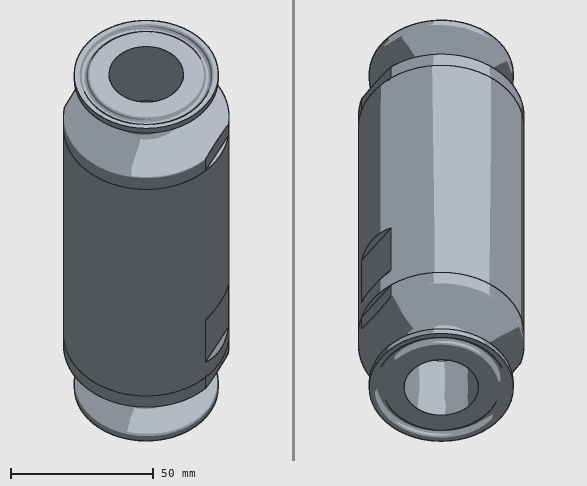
import cadquery as cq
import math

total_length = 165.0
housing_length = 109.0
housing_diameter = 58.0
bore_diameter = 25.0
flat_spacing = 55.0

cap_rim_height = 6.0
cap_cone_angle = 22.0
cap_rim_fillet = 0.5
cap_neck_fillet = 2.0
neck_diameter = 29.0
bore_mouth_diameter = 26.0

flange_diameter = 50.5
flange_edge_height = 2.75
flange_cone_angle = 20.0
flange_edge_fillet = 1.0
flange_neck_fillet = 2.0

groove_diameter = 43.5
groove_radius = 1.2
groove_lip_fillet = 0.9
groove_depth = 1.6

wrench_flat_length = 22.0
wrench_flat_center_z = -35.5

spot_diameter = 15.0
spot_depth = 1.0

housing_radius = housing_diameter / 2
neck_radius = neck_diameter / 2
bore_radius = bore_diameter / 2
flange_radius = flange_diameter / 2
flat_offset = flat_spacing / 2
flat_depth = housing_radius - flat_offset
cap_base_z = housing_length / 2
face_z = total_length / 2


def make_housing():
    """Tube with two sloped-end wrench flats and a spot face."""
    housing = (
        cq.Workplane("XY", origin=(0, 0, -cap_base_z))
        .circle(housing_radius)
        .circle(bore_radius)
        .extrude(housing_length)
    )
    half_floor = wrench_flat_length / 2
    half_mouth = half_floor + flat_depth
    for side in (-1, 1):
        flat_cut = (
            cq.Workplane("XZ")
            .polyline([
                (side * flat_offset, wrench_flat_center_z - half_floor),
                (side * housing_radius, wrench_flat_center_z - half_mouth),
                (side * housing_radius, wrench_flat_center_z + half_mouth),
                (side * flat_offset, wrench_flat_center_z + half_floor),
            ])
            .close()
            .extrude(housing_radius, both=True)
        )
        housing = housing.cut(flat_cut)
    spot = (
        cq.Workplane("XZ", origin=(0, housing_radius, 0))
        .circle(spot_diameter / 2)
        .extrude(spot_depth)
    )
    return housing.cut(spot)


def fillet_ring(body, radius, z, fillet):
    """Round the circular edge of the given radius at height z."""
    tolerance = 0.01
    ring = [
        edge
        for edge in body.edges("%CIRCLE").vals()
        if abs(edge.Center().z - z) < tolerance and abs(edge.radius() - radius) < tolerance
    ]
    return body.newObject(ring).fillet(fillet)


def make_groove():
    """Ring-shaped cutter: rounded bottom with rounded lips blending into the face."""
    center_r = groove_diameter / 2
    bottom_z = face_z - groove_depth
    bottom_center_z = bottom_z + groove_radius
    lip_center_z = face_z - groove_lip_fillet
    radius_sum = groove_radius + groove_lip_fillet
    rise = bottom_center_z - lip_center_z
    spread = math.sqrt(radius_sum ** 2 - rise ** 2)
    lean = math.asin(rise / radius_sum)
    tangent_r = groove_radius * math.cos(lean)
    tangent_z = bottom_center_z - groove_radius * math.sin(lean)
    middle_angle = (lean + math.pi / 2) / 2
    lip_middle_r = spread - groove_lip_fillet * math.cos(middle_angle)
    lip_middle_z = lip_center_z + groove_lip_fillet * math.sin(middle_angle)
    return (
        cq.Workplane("XZ")
        .moveTo(center_r - spread, face_z)
        .threePointArc((center_r - lip_middle_r, lip_middle_z), (center_r - tangent_r, tangent_z))
        .threePointArc((center_r, bottom_z), (center_r + tangent_r, tangent_z))
        .threePointArc((center_r + lip_middle_r, lip_middle_z), (center_r + spread, face_z))
        .close()
        .revolve(360, (0, 0, 0), (0, 1, 0))
    )


def make_upper_cap():
    """Conical cap with a neck, a clamp flange, two side flats and a slightly tapered bore."""
    rim_top_z = cap_base_z + cap_rim_height
    cone_rise = (housing_radius - neck_radius) * math.tan(math.radians(cap_cone_angle))
    neck_bottom_z = rim_top_z + cone_rise
    flange_edge_z = face_z - flange_edge_height
    flange_drop = (flange_radius - neck_radius) * math.tan(math.radians(flange_cone_angle))
    neck_top_z = flange_edge_z - flange_drop
    cap = (
        cq.Workplane("XZ")
        .moveTo(bore_radius, cap_base_z)
        .lineTo(housing_radius, cap_base_z)
        .lineTo(housing_radius, rim_top_z)
        .lineTo(neck_radius, neck_bottom_z)
        .lineTo(neck_radius, neck_top_z)
        .lineTo(flange_radius, flange_edge_z)
        .lineTo(flange_radius, face_z)
        .lineTo(bore_mouth_diameter / 2, face_z)
        .close()
        .revolve(360, (0, 0, 0), (0, 1, 0))
    )
    cap = fillet_ring(cap, housing_radius, rim_top_z, cap_rim_fillet)
    cap = fillet_ring(cap, neck_radius, neck_bottom_z, cap_neck_fillet)
    cap = fillet_ring(cap, neck_radius, neck_top_z, flange_neck_fillet)
    cap = fillet_ring(cap, flange_radius, flange_edge_z, flange_edge_fillet)
    between_flats = cq.Workplane("XY").box(flat_spacing, housing_diameter, total_length)
    return cap.intersect(between_flats).cut(make_groove())


housing = make_housing()
upper_cap = make_upper_cap()
lower_cap = upper_cap.mirror("XY")

result = cq.Compound.makeCompound([housing.val(), upper_cap.val(), lower_cap.val()])